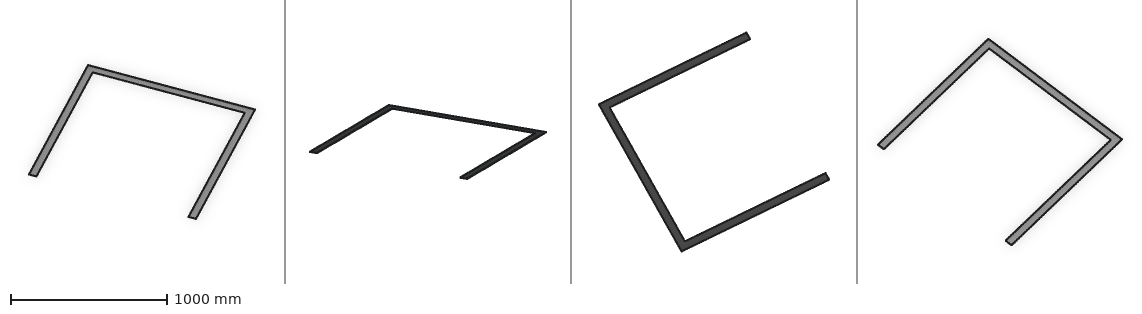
import cadquery as cq

frame_width = 1143.0
frame_depth = 1066.0
thickness = 3.2
strip_width = 51.0

opening_width = frame_width - 2 * strip_width
opening_depth = frame_depth - strip_width

plate = cq.Workplane("XY").box(frame_width, frame_depth, thickness)

opening = (
    cq.Workplane("XY")
    .box(opening_width, opening_depth, thickness)
    .translate((0, -strip_width / 2, 0))
)

result = plate.cut(opening)